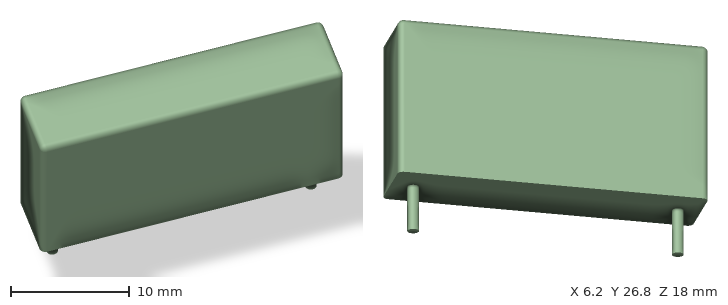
import cadquery as cq

body_width = 6.2
body_length = 26.8
overall_height = 18.0
pin_length = 4.02
body_height = overall_height - pin_length
edge_radius = 0.5

pin_diameter = 1.0
pin_spacing = 22.9
pin_embed = 0.27


def make_body():
    """Box with its bottom at Z = 0; every edge except the bottom ones is rounded."""
    box = cq.Workplane("XY").box(body_width, body_length, body_height, centered=(True, True, False))
    return box.edges("|Z or >Z").fillet(edge_radius)


def make_pins():
    """Two pins hanging below the body."""
    return (
        cq.Workplane("XY", origin=(0, 0, -pin_length))
        .pushPoints([(0, side * pin_spacing / 2) for side in (-1, 1)])
        .circle(pin_diameter / 2)
        .extrude(pin_length + pin_embed)
    )


result = make_body().union(make_pins())